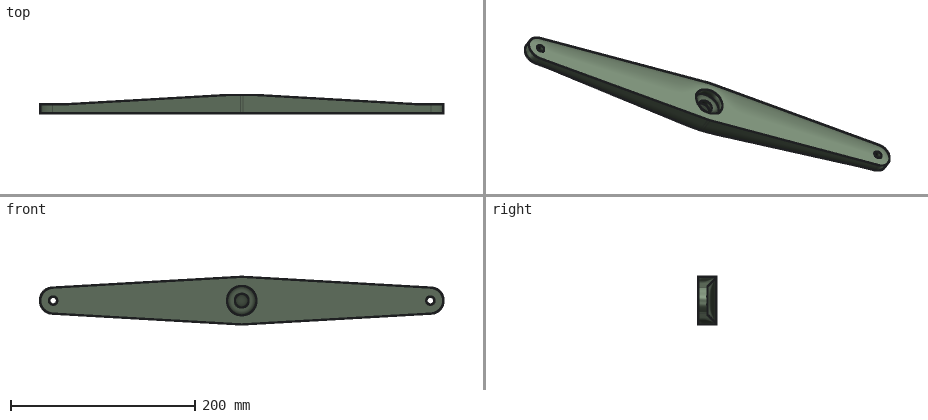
import cadquery as cq
import math

length = 438.38
hub_radius = 26.0
hole_spacing = 409.85
pin_hole_diameter = 8.5

hub_thickness = 20.0
tip_thickness = 10.0
hub_flat_half_length = 16.5
taper_end = 191.0

pocket_diameter = 32.0
pocket_depth = 9.0
bore_diameter = 15.0
bore_depth = 15.0

half_length = length / 2
tip_center = hole_spacing / 2
tip_radius = half_length - tip_center
side_angle = math.asin((hub_radius - tip_radius) / tip_center)


def arm_plate():
    """Tapered arm outline with rounded hub and tips, at full hub thickness."""
    hub_x = hub_radius * math.sin(side_angle)
    hub_z = hub_radius * math.cos(side_angle)
    tip_x = tip_center + tip_radius * math.sin(side_angle)
    tip_z = tip_radius * math.cos(side_angle)
    outline = (
        cq.Workplane("XZ")
        .moveTo(-hub_x, hub_z)
        .threePointArc((0, hub_radius), (hub_x, hub_z))
        .lineTo(tip_x, tip_z)
        .threePointArc((half_length, 0), (tip_x, -tip_z))
        .lineTo(hub_x, -hub_z)
        .threePointArc((0, -hub_radius), (-hub_x, -hub_z))
        .lineTo(-tip_x, -tip_z)
        .threePointArc((-half_length, 0), (-tip_x, tip_z))
        .close()
    )
    return outline.extrude(-hub_thickness)


def thickness_envelope():
    """Solid whose back slopes from the flat hub down to the thin tips."""
    profile = (
        cq.Workplane("XY")
        .moveTo(-half_length, 0)
        .lineTo(half_length, 0)
        .lineTo(half_length, tip_thickness)
        .lineTo(taper_end, tip_thickness)
        .lineTo(hub_flat_half_length, hub_thickness)
        .lineTo(-hub_flat_half_length, hub_thickness)
        .lineTo(-taper_end, tip_thickness)
        .lineTo(-half_length, tip_thickness)
        .close()
    )
    return profile.extrude(hub_radius, both=True)


def front_hole(x, diameter, depth):
    """Round cutter entering from the front face."""
    return cq.Workplane("XZ").center(x, 0).circle(diameter / 2).extrude(-depth)


result = arm_plate().intersect(thickness_envelope())

for hole_x in (-tip_center, tip_center):
    result = result.cut(front_hole(hole_x, pin_hole_diameter, hub_thickness))

result = result.cut(front_hole(0, pocket_diameter, pocket_depth))
result = result.cut(front_hole(0, bore_diameter, bore_depth))